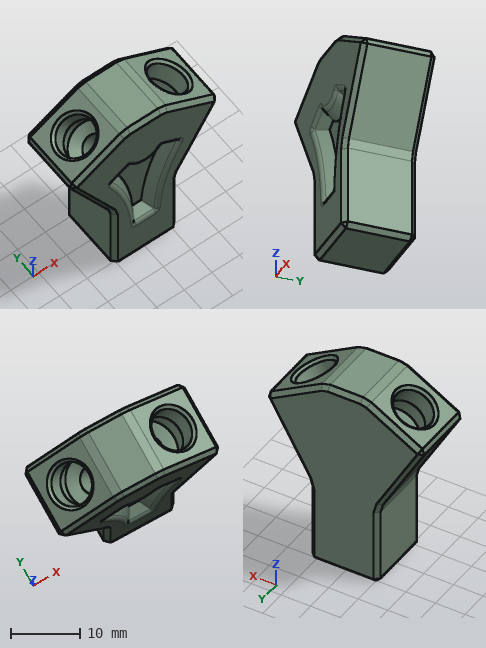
import cadquery as cq
import math

bar_width = 11.5
total_height = 32.85
top_flat_half = 3.5
arm_slope = math.radians(30)
edge_chamfer = 0.75

socket_radius = 6.5 / 2
socket_mouth_chamfer = 0.5
socket_bore_depth = 3.45
chamber_radius = 8.0 / 2
chamber_depth = 6.6
cone_end_depth = 7.7
bolt_radius = 4.3 / 2
bolt_hole_depth = bar_width

pocket_depth = 2.15
pocket_taper = 33.0
pocket_corner_fillet = 0.1
pocket_rim_fillet = 1.0
pocket_bottom_z = 7.7
pocket_bottom_half = 2.1
pocket_tip_half = 6.4
pocket_side_mid = (3.22, 15.05)
scallop_radius = 3.3
scallop_center_z = 26.05

stem_half = bar_width / 2
tip_x = top_flat_half + bar_width * math.cos(arm_slope)
tip_z = total_height - bar_width * math.sin(arm_slope)
fork_z = tip_z - (tip_x - stem_half) / math.tan(arm_slope)


def mirrored(right_points):
    """Right-hand points followed by their mirror images in reverse order."""
    return right_points + [(-x, z) for x, z in reversed(right_points)]


def make_body():
    outline = mirrored(
        [(stem_half, 0), (stem_half, fork_z), (tip_x, tip_z), (top_flat_half, total_height)]
    )
    block = cq.Workplane("XZ").polyline(outline).close().extrude(stem_half, both=True)
    return block.edges().chamfer(edge_chamfer)


def make_socket(side):
    """Socket and bolt hole of one arm; side is 1 for the right arm and -1 for the left arm."""
    mouth_radius = socket_radius + socket_mouth_chamfer
    face_center = ((top_flat_half + tip_x) / 2, (total_height + tip_z) / 2)
    half_section = (
        cq.Workplane("XZ")
        .lineTo(mouth_radius, 0)
        .lineTo(socket_radius, -socket_mouth_chamfer)
        .lineTo(socket_radius, -socket_bore_depth)
        .lineTo(chamber_radius, -socket_bore_depth)
        .lineTo(chamber_radius, -chamber_depth)
        .lineTo(bolt_radius, -cone_end_depth)
        .lineTo(bolt_radius, -bolt_hole_depth)
        .lineTo(0, -bolt_hole_depth)
        .close()
    )
    return (
        half_section.revolve(360, (0, 0, 0), (0, 1, 0))
        .rotate((0, 0, 0), (0, 1, 0), side * math.degrees(arm_slope))
        .translate((side * face_center[0], 0, face_center[1]))
    )


def cut_pocket(body):
    slope = math.tan(arm_slope)
    wall_apex_z = total_height + top_flat_half * slope - cone_end_depth / math.cos(arm_slope)
    pocket_tip_z = wall_apex_z - pocket_tip_half * slope

    apex_offset = wall_apex_z - scallop_center_z
    foot = apex_offset * math.cos(arm_slope)
    along = apex_offset * math.sin(arm_slope) + math.sqrt(scallop_radius**2 - foot**2)
    scallop_x = along * math.cos(arm_slope)
    scallop_z = wall_apex_z - scallop_x * slope

    mid_x, mid_z = pocket_side_mid
    pocket = (
        cq.Workplane("XZ", origin=(0, -stem_half, 0))
        .moveTo(-pocket_bottom_half, pocket_bottom_z)
        .lineTo(pocket_bottom_half, pocket_bottom_z)
        .threePointArc((mid_x, mid_z), (pocket_tip_half, pocket_tip_z))
        .lineTo(scallop_x, scallop_z)
        .threePointArc((0, scallop_center_z - scallop_radius), (-scallop_x, scallop_z))
        .lineTo(-pocket_tip_half, pocket_tip_z)
        .threePointArc((-mid_x, mid_z), (-pocket_bottom_half, pocket_bottom_z))
        .close()
        .extrude(-pocket_depth, taper=pocket_taper)
        .edges("not (<Y or >Y)")
        .fillet(pocket_corner_fillet)
    )
    margin = 0.33
    box_half = stem_half - edge_chamfer - margin
    rim_box = cq.selectors.BoxSelector(
        (-box_half, -stem_half - margin, pocket_bottom_z - margin),
        (box_half, -stem_half + margin, scallop_center_z),
    )
    return body.cut(pocket).edges(rim_box).fillet(pocket_rim_fillet)


result = cut_pocket(make_body())
for side in (1, -1):
    result = result.cut(make_socket(side))